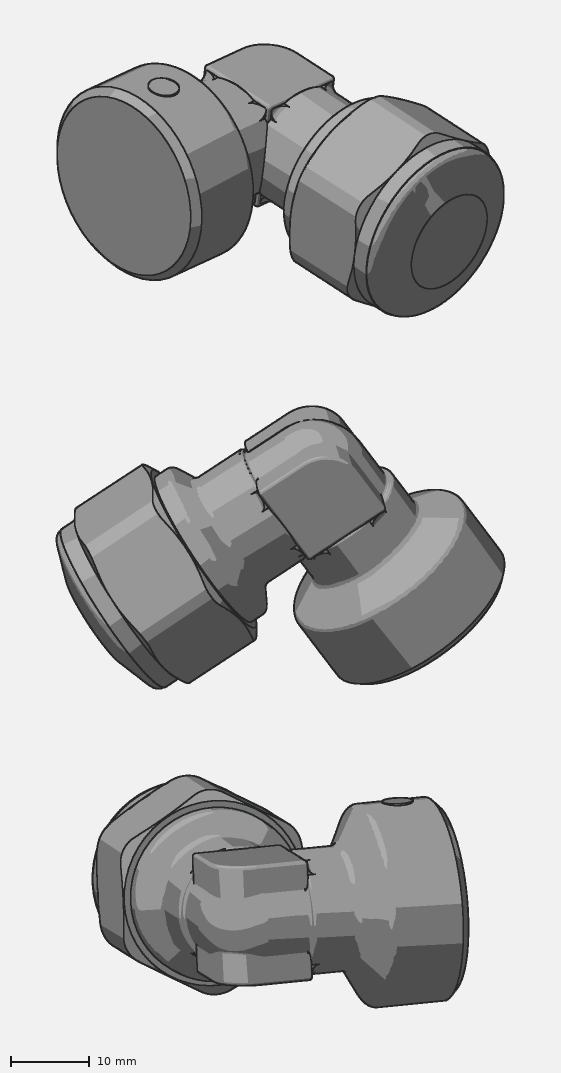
import cadquery as cq
import math

ROLL_ANGLE = 8.3

TOLERANCE = 0.05

NECK_RADIUS = 8.0
NECK_START = 5.75
FLARE_ANGLE = 30.0
FLARE_ROUND = 1.0

BEND_RADIUS = 7.2
BLOCK_HALF_WIDTH = 5.95
BLOCK_HALF_HEIGHT = 7.75
BLOCK_OUTER_CORNER = 5.05
BLOCK_EDGE_ROUND = 0.45
BEND_SEAM_ROUND = 0.43
CORNER_COVE = 1.0
CROTCH_ROUND = 0.7
CROTCH_HALF_HEIGHT = 5.2
CROTCH_REACH = 9.45
STEP_ROUND = (NECK_RADIUS - BEND_RADIUS) / 2
BEND_LENGTH = NECK_START - STEP_ROUND

CAP_RADIUS = 13.0
CAP_START = 14.65
CAP_END = 25.0
CAP_CHAMFER = 1.0
PAD_RADIUS = 2.0
PAD_CENTRE = 19.75
PAD_RISE = 0.1

COLLAR_RADIUS = 11.05
COLLAR_START = 14.8
NUT_START = 17.0
NUT_END = 28.6
NUT_ACROSS_FLATS = 24.0
NUT_CORNER_RADIUS = NUT_ACROSS_FLATS / 2 / math.cos(math.pi / 6)
NUT_CORNER_ROUND = 4.0
NUT_CHAMFER_ANGLE = 30.0
NUT_FACE_RADIUS = 11.9
TAIL_RADIUS = NUT_ACROSS_FLATS / 2
TAIL_STEP_START = 30.85
TAIL_STEP = 0.1
TAIL_END = 31.65
TAIL_RIM_ROUND = 1.0
END_FACE_RADIUS = 6.7
END_FACE = 33.65


def turned(profile):
    """Solid turned about X from (distance, radius) corners, closed along the axis."""
    outline = [(profile[0][0], 0)] + profile + [(profile[-1][0], 0)]
    return cq.Workplane("XY").polyline(outline).close().revolve(360, (0, 0, 0), (1, 0, 0))


def round_rim(solid, distance, radius):
    """Fillet the full circular rim at the given distance along X."""
    return solid.edges(cq.NearestToPointSelector((distance, 0, 0))).fillet(radius)


def flared_leg(outer_radius, outer_start, rest):
    """Neck that flares out to outer_radius, followed by the rest of the profile."""
    flare_length = (outer_radius - NECK_RADIUS) * math.tan(math.radians(FLARE_ANGLE))
    flare_start = outer_start - flare_length
    step = (
        cq.Workplane("XY")
        .moveTo(BEND_LENGTH, 0)
        .lineTo(BEND_LENGTH, BEND_RADIUS)
        .radiusArc((NECK_START, BEND_RADIUS + STEP_ROUND), -STEP_ROUND)
        .radiusArc((NECK_START + STEP_ROUND, NECK_RADIUS), STEP_ROUND)
        .lineTo(NECK_START + STEP_ROUND, 0)
        .close()
        .revolve(360, (0, 0, 0), (1, 0, 0))
    )
    neck = [
        (NECK_START + STEP_ROUND, NECK_RADIUS),
        (flare_start, NECK_RADIUS),
        (outer_start, outer_radius),
    ]
    leg = turned(neck + rest)
    leg = round_rim(leg, flare_start, FLARE_ROUND)
    leg = round_rim(leg, outer_start, FLARE_ROUND)
    return step.union(leg)


def capped_leg():
    """Leg along -Y ending in a blind cap with a small round pad on its +Z side."""
    leg = flared_leg(CAP_RADIUS, CAP_START, [
        (CAP_END - CAP_CHAMFER, CAP_RADIUS),
        (CAP_END, CAP_RADIUS - CAP_CHAMFER),
    ])
    pad = cq.Workplane("XY").center(PAD_CENTRE, 0).circle(PAD_RADIUS).extrude(CAP_RADIUS + PAD_RISE)
    return leg.union(pad).rotate((0, 0, 0), (0, 0, 1), -90)


def hex_nut():
    """Hexagon with flats facing +Y and -Y, chamfered at both ends by a turned envelope."""
    hex_blank = (
        cq.Workplane("YZ", origin=(NUT_START, 0, 0))
        .polygon(6, NUT_ACROSS_FLATS, circumscribed=True)
        .extrude(NUT_END - NUT_START)
        .edges("|X").fillet(NUT_CORNER_ROUND)
    )
    chamfer_slope = math.tan(math.radians(NUT_CHAMFER_ANGLE))
    envelope = turned([
        (NUT_START, NUT_FACE_RADIUS),
        (NUT_START + (NUT_CORNER_RADIUS - NUT_FACE_RADIUS) * chamfer_slope, NUT_CORNER_RADIUS),
        (NUT_END - (NUT_CORNER_RADIUS - TAIL_RADIUS) * chamfer_slope, NUT_CORNER_RADIUS),
        (NUT_END, TAIL_RADIUS),
    ])
    return hex_blank.intersect(envelope)


def nut_leg():
    """Leg along +X with its collar, the hex nut and the tapered tail behind the nut."""
    collar = flared_leg(COLLAR_RADIUS, COLLAR_START, [(NUT_END, COLLAR_RADIUS)])
    rim_radius = TAIL_RADIUS - TAIL_STEP
    tail = turned([
        (NUT_END, TAIL_RADIUS),
        (TAIL_STEP_START, TAIL_RADIUS),
        (TAIL_STEP_START, rim_radius),
        (TAIL_END, rim_radius),
        (END_FACE, END_FACE_RADIUS),
    ])
    tail = round_rim(tail, TAIL_END, TAIL_RIM_ROUND)
    return collar.union(hex_nut()).union(tail)


def corner_coves():
    """Concave blends from the block corners that stand proud of the neck down onto the neck (along X)."""
    start = BLOCK_HALF_WIDTH - BLOCK_EDGE_ROUND
    ring = (
        cq.Workplane("XY")
        .moveTo(start, 0)
        .lineTo(start, NECK_RADIUS + CORNER_COVE)
        .lineTo(BLOCK_HALF_WIDTH, NECK_RADIUS + CORNER_COVE)
        .radiusArc((BLOCK_HALF_WIDTH + CORNER_COVE, NECK_RADIUS), -CORNER_COVE)
        .lineTo(BLOCK_HALF_WIDTH + CORNER_COVE, 0)
        .close()
        .revolve(360, (0, 0, 0), (1, 0, 0))
    )
    bar = (
        cq.Workplane("YZ")
        .rect(2 * start, 2 * (BLOCK_HALF_HEIGHT - BLOCK_EDGE_ROUND))
        .extrude(BLOCK_HALF_WIDTH + CORNER_COVE)
    )
    return ring.intersect(bar)


def elbow_body():
    """Block with one large corner and a round bend bulging out through its walls."""
    side = 2 * BLOCK_HALF_WIDTH
    block = (
        cq.Workplane("XY").box(side, side, 2 * BLOCK_HALF_HEIGHT)
        .edges("|Z and <X and >Y").fillet(BLOCK_OUTER_CORNER)
        .faces("<Y or >X").edges("|Z").fillet(BLOCK_EDGE_ROUND)
        .faces("|Z").edges().fillet(BLOCK_EDGE_ROUND)
    )
    outer_bend = (
        cq.Workplane("XZ")
        .moveTo(0, BEND_RADIUS).threePointArc((-BEND_RADIUS, 0), (0, -BEND_RADIUS)).close()
        .revolve(90, (0, 0, 0), (0, -1, 0))
    )
    bend = (
        cq.Workplane("YZ").circle(BEND_RADIUS).extrude(BEND_LENGTH)
        .union(cq.Workplane("XZ").circle(BEND_RADIUS).extrude(BEND_LENGTH))
        .union(outer_bend)
    )
    body = block.union(bend)
    seam_top = math.sqrt(BEND_RADIUS**2 - BLOCK_HALF_WIDTH**2)

    wall_reach = BLOCK_OUTER_CORNER + math.sqrt(2) * (BLOCK_HALF_WIDTH - BLOCK_OUTER_CORNER)
    seam_bottom = math.sqrt(BEND_RADIUS**2 - wall_reach**2)

    def on_outer_seam(edge):
        """True along the outer lines where the round bend leaves the block walls."""
        centre = edge.Center()
        return centre.y > centre.x and seam_bottom < abs(centre.z) < seam_top + TOLERANCE

    return body.edges().filter(on_outer_seam).fillet(BEND_SEAM_ROUND)


def neck_crotch():
    """Corner piece where the two necks meet on the inside of the elbow, with its valley rounded."""
    near = NECK_START + STEP_ROUND
    length = CROTCH_REACH - near
    necks = (
        cq.Workplane("YZ").circle(NECK_RADIUS).extrude(CROTCH_REACH)
        .union(cq.Workplane("XZ").circle(NECK_RADIUS).extrude(CROTCH_REACH))
    )
    corner = cq.Workplane("XY").box(length, length, 2 * CROTCH_HALF_HEIGHT)
    corner = corner.translate((near + length / 2, -near - length / 2, 0))
    return necks.intersect(corner).edges("%ELLIPSE").fillet(CROTCH_ROUND)


elbow_coves = corner_coves()
fitting = (
    elbow_body()
    .union(capped_leg())
    .union(nut_leg())
    .union(elbow_coves)
    .union(elbow_coves.rotate((0, 0, 0), (0, 0, 1), -90))
    .union(neck_crotch())
)
result = fitting.rotate((0, 0, 0), (0, 1, 0), ROLL_ANGLE)